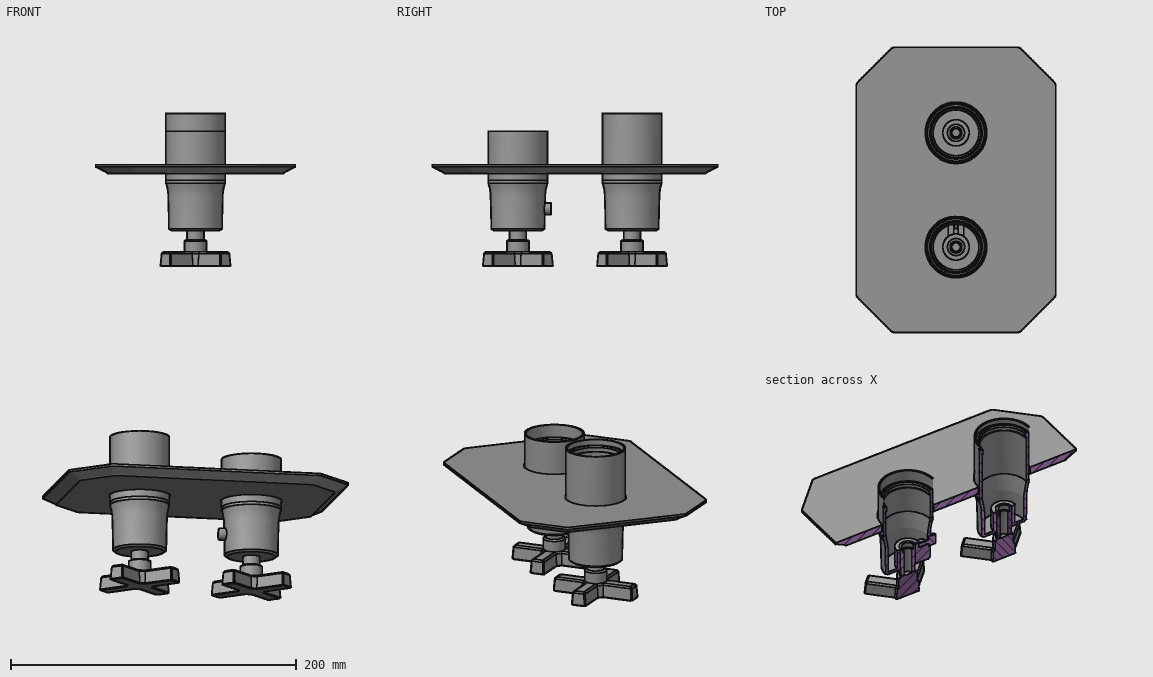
import cadquery as cq
import math


plate_width = 140.0
plate_length = 200.0
corner_cut = 25.5
corner_radius = 4.0
rim_height = 1.5
plate_thickness = 6.5
bevel_inset = 7.8
face_chamfer = 0.8
hole_radius = 21.5

axis_offset = 40.0
tall_side = 1
short_side = -1

sleeve_diameter = 41.8
sleeve_radius = sleeve_diameter / 2
rim_wall = 1.0
rim_bore_radius = sleeve_radius - rim_wall
sleeve_bottom = -11.2
sleeve_tops = {tall_side: 35.8, short_side: 23.5}
ledge_depths = {tall_side: 4.0, short_side: 9.0}
lip_height = 4.2
lip_radius = 17.5
lip_chamfer = 1.0
sleeve_bore_radius = 18.2

bell_bottom = -46.5
band_bottom = -13.2
neck_in_step = 0.2
flare_mid_radius = 19.5
flare_mid = -17.5
waist_radius = 19.2
waist = -24.2
bell_base_radius = 18.8
bell_wall_hollow = 0.1
bell_edge_height = 1.5
bell_edge_width = 2.0
bell_inner_radius = 16.0
floor_thickness = 2.5
boss_radius = 9.2
boss_top = -28.0

button_z = -31.0
button_radius = 4.2
button_tip = 23.2
button_seat = 17.5
button_edge = 0.5
pin_radius = 1.5
pin_flat_depth = 0.2
pin_flat_start = 12.8
pin_block_width = 10.8

stem_radius = 6.0
stem_bottom = -52.5
stem_bore_radius = 3.0
stem_counterbore_radius = 4.2
stem_counterbore_depth = 4.0

hub_radius = 7.8
hub_cone_height = 1.0
cross_top = -61.2
cross_bottom = -71.5
arm_reach = 30.2
arm_half_width = 5.5
arm_tip_chamfer = 0.8
arm_tip_chamfer_top = 0.2
arm_draft = 0.5
inner_corner_distance = 9.5
cross_top_chamfer = 1.2
cross_bottom_chamfer = 0.5


def cylinder(radius, bottom, top):
    return cq.Workplane("XY").workplane(offset=bottom).circle(radius).extrude(top - bottom)


def place(body, side):
    return body.translate((0, side * axis_offset, 0))


def plate_outline(inset, height):
    """Octagon with rounded corners at a given height, every side moved inward by the inset."""
    half_x = plate_width / 2 - inset
    half_y = plate_length / 2 - inset
    cut = corner_cut - inset * (2 - math.sqrt(2))
    flat_x = half_x - cut
    flat_y = half_y - cut
    corners = [
        (flat_x, half_y), (half_x, flat_y), (half_x, -flat_y), (flat_x, -half_y),
        (-flat_x, -half_y), (-half_x, -flat_y), (-half_x, flat_y), (-flat_x, half_y),
    ]
    outline = cq.Sketch().polygon(corners + corners[:1]).vertices().fillet(corner_radius)
    return outline.moved(cq.Location(cq.Vector(0, 0, height)))


def plate_layer(upper_outline, lower_outline):
    return cq.Workplane("XY").placeSketch(upper_outline, lower_outline).loft(ruled=True)


def make_plate():
    """Octagonal plate with an upright rim, a wide bevel, a chamfered face and two sleeve holes."""
    back = plate_outline(0, 0)
    rim_edge = plate_outline(0, -rim_height)
    bevel_edge = plate_outline(bevel_inset, face_chamfer - plate_thickness)
    face = plate_outline(bevel_inset + face_chamfer, -plate_thickness)
    plate = (
        plate_layer(back, rim_edge)
        .union(plate_layer(rim_edge, bevel_edge))
        .union(plate_layer(bevel_edge, face))
    )
    for side in (tall_side, short_side):
        plate = plate.cut(place(cylinder(hole_radius, -plate_thickness, 0), side))
    return plate


def make_sleeve(side):
    """Tube with a wide mouth, a ledge and an inward lip under the ledge."""
    top = sleeve_tops[side]
    ledge = top - ledge_depths[side]
    lip_bottom = ledge - lip_height
    profile = [
        (sleeve_radius, sleeve_bottom), (sleeve_radius, top),
        (rim_bore_radius, top), (rim_bore_radius, ledge),
        (lip_radius + lip_chamfer, ledge), (lip_radius, ledge - lip_chamfer),
        (lip_radius, lip_bottom), (sleeve_bore_radius, lip_bottom),
        (sleeve_bore_radius, sleeve_bottom),
    ]
    sleeve = cq.Workplane("XZ").polyline(profile).close().revolve()
    return place(sleeve, side)


def bell_blank():
    """Hollow flared cup with a central boss, centred on its own axis."""
    edge_top = bell_bottom + bell_edge_height
    floor_top = bell_bottom + floor_thickness
    mid_height = (waist + edge_top) / 2
    mid_radius = (waist_radius + bell_base_radius) / 2 - bell_wall_hollow
    cup = (
        cq.Workplane("XZ")
        .moveTo(0, bell_bottom)
        .lineTo(bell_base_radius - bell_edge_width, bell_bottom)
        .lineTo(bell_base_radius, edge_top)
        .threePointArc((mid_radius, mid_height), (waist_radius, waist))
        .threePointArc((flare_mid_radius, flare_mid), (sleeve_radius - neck_in_step, band_bottom))
        .lineTo(sleeve_radius, band_bottom)
        .lineTo(sleeve_radius, sleeve_bottom)
        .lineTo(sleeve_bore_radius, sleeve_bottom)
        .lineTo(bell_inner_radius, waist)
        .lineTo(bell_inner_radius, floor_top)
        .lineTo(0, floor_top)
        .close()
        .revolve()
    )
    return cup.union(cylinder(boss_radius, bell_bottom, boss_top))


def pin_block():
    """Block from the boss to the wall, level with the pin axis, that carries the button pin."""
    floor_top = bell_bottom + floor_thickness
    mid_wall_radius = (bell_inner_radius + bell_base_radius) / 2
    block = cq.Workplane("XY").box(
        pin_block_width, mid_wall_radius, button_z - floor_top, centered=(True, False, False)
    ).translate((0, 0, floor_top))
    return block.intersect(cylinder(mid_wall_radius, bell_bottom, button_z))


def button_blank():
    """Round push button with a thin pin, partly flattened on top, that runs inward to the boss."""
    axis_plane = cq.Workplane("XZ", origin=(0, 0, button_z))
    head = axis_plane.workplane(offset=-button_seat).circle(button_radius).extrude(button_seat - button_tip)
    head = head.faces(">Y").edges().fillet(button_edge)
    pin = axis_plane.workplane(offset=-boss_radius).circle(pin_radius).extrude(boss_radius - button_seat)
    flat = cq.Workplane("XY").box(
        2 * pin_radius, button_seat - pin_flat_start, pin_flat_depth, centered=(True, False, False)
    ).translate((0, pin_flat_start, button_z + pin_radius - pin_flat_depth))
    return head.union(pin.cut(flat))


def make_bell(side):
    """Bell with its stem bore; the short one also carries the button and its pin block."""
    bell = bell_blank()
    if side == short_side:
        bell = bell.union(pin_block()).cut(button_blank())
    bell = bell.cut(cylinder(stem_radius, bell_bottom, boss_top))
    return place(bell, side)


def make_button():
    return place(button_blank(), short_side)


def make_stem(side):
    """Shaft between bell and handle, with a stepped bore."""
    stem = cylinder(stem_radius, stem_bottom, boss_top)
    stem = stem.cut(cylinder(stem_bore_radius, stem_bottom, boss_top))
    stem = stem.cut(cylinder(stem_counterbore_radius, boss_top - stem_counterbore_depth, boss_top))
    return place(stem, side)


def cross_section(inset, tip_chamfer):
    """Corner points of the diagonal cross, with every wall moved inward by the inset."""
    reach = arm_reach - inset
    half_width = arm_half_width - inset
    shoulder = reach - tip_chamfer
    tip_half_width = half_width - tip_chamfer
    corner = math.sqrt(2) * (inner_corner_distance - inset) - half_width
    arm = [
        (corner, -half_width), (shoulder, -half_width),
        (reach, -tip_half_width), (reach, tip_half_width),
        (shoulder, half_width), (corner, half_width),
    ]
    points = []
    for quarter in range(4):
        turn = math.radians(45 + 90 * quarter)
        for x, y in arm:
            points.append((
                x * math.cos(turn) - y * math.sin(turn),
                x * math.sin(turn) + y * math.cos(turn),
            ))
    return points


def tapered_layer(bottom, bottom_points, top, top_points):
    return (
        cq.Workplane("XY").workplane(offset=bottom).polyline(bottom_points).close()
        .workplane(offset=top - bottom).polyline(top_points).close()
        .loft(ruled=True)
    )


def make_handle(side):
    """Cross of four tapered arms, bevelled above and below, with a round hub on top."""
    wall_bottom = cross_bottom + cross_bottom_chamfer
    wall_top = cross_top - cross_top_chamfer
    foot = cross_section(cross_bottom_chamfer, arm_tip_chamfer)
    widest = cross_section(0, arm_tip_chamfer)
    narrowest = cross_section(arm_draft, arm_tip_chamfer)
    crown = cross_section(arm_draft + cross_top_chamfer, arm_tip_chamfer_top)
    handle = (
        tapered_layer(cross_bottom, foot, wall_bottom, widest)
        .union(tapered_layer(wall_bottom, widest, wall_top, narrowest))
        .union(tapered_layer(wall_top, narrowest, cross_top, crown))
    )
    hub = cylinder(hub_radius, cross_top, stem_bottom)
    hub = hub.faces(">Z").chamfer(hub_cone_height, hub_radius - stem_radius)
    return place(handle.union(hub), side)


sides = (tall_side, short_side)
plate = make_plate().solids().val()
sleeves = [make_sleeve(side).solids().val() for side in sides]
bells = [make_bell(side).solids().val() for side in sides]
stems = [make_stem(side).solids().val() for side in sides]
handles = [make_handle(side).solids().val() for side in sides]
button = make_button().solids().val()

result = cq.Compound.makeCompound([plate, *sleeves, *bells, *stems, *handles, button])